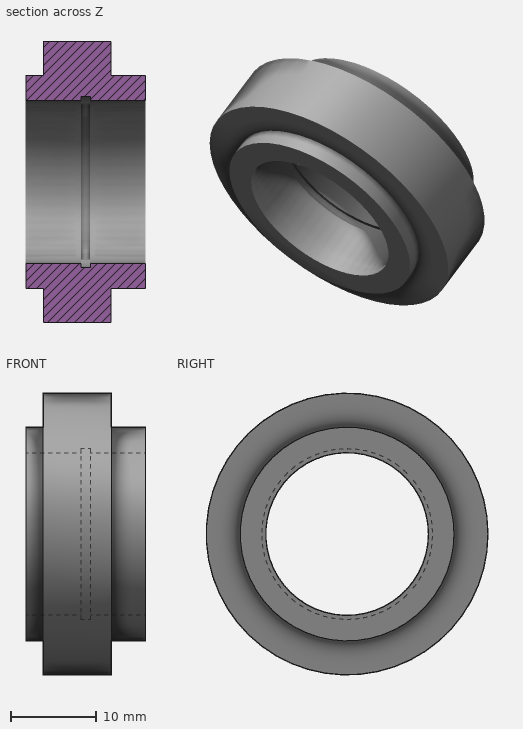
import cadquery as cq

flange_diameter = 33
hub_diameter = 25.0
bore_diameter = 19.0
groove_depth = 0.5

total_length = 14.0
short_hub_length = 2.0
flange_width = 8.0
groove_width = 1.1


def disc(diameter, start, length):
    """Solid cylinder about X, running from start towards +X."""
    return cq.Workplane("YZ", origin=(start, 0, 0)).circle(diameter / 2).extrude(length)


hub = disc(hub_diameter, 0, total_length)
flange = disc(flange_diameter, short_hub_length, flange_width)

bore = disc(bore_diameter, 0, total_length)
groove_start = (total_length - groove_width) / 2
groove = disc(bore_diameter + 2 * groove_depth, groove_start, groove_width)

result = hub.union(flange).cut(bore).cut(groove)